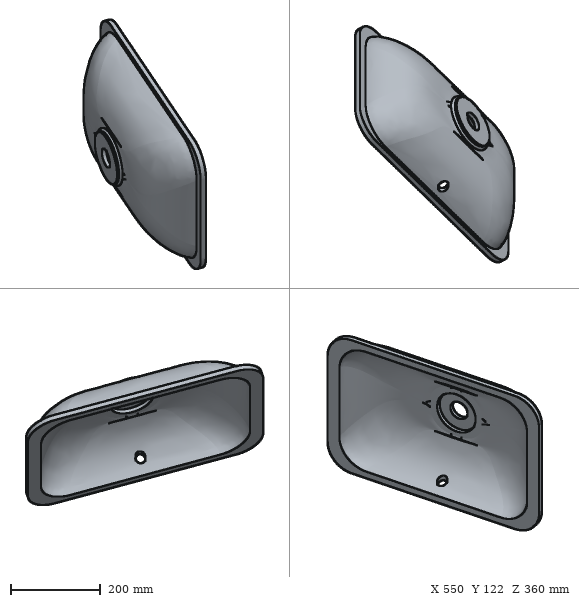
import cadquery as cq

length = 550.0
width = 360.0
total_depth = 122.0
flange_thickness = 13.0
flange_corner = 62.5

wall = 11.0
floor_depth = 111.0
rim_half_length = 255.0
rim_half_width = 172.5
bowl_sections = [
    (0.0, rim_half_length, rim_half_width, 74.0),
    (22.0, 251.0, 167.0, 74.0),
    (44.0, 240.5, 157.5, 77.0),
    (66.0, 223.5, 142.0, 80.0),
    (88.0, 197.0, 117.0, 80.0),
    (101.0, 168.5, 92.0, 71.5),
    (108.0, 133.0, 73.5, 64.0),
    (floor_depth, 71.5, 66.5, 58.5),
]

boss_radius = 61.0
boss_flare = 6.0
drain_radius = 22.0
overflow_radius = 11.5
overflow_depth = 38.5


def plane_at(depth):
    """Sketch plane at a depth below the rim, with its normal toward -Y."""
    return cq.Workplane("XZ", origin=(0, -depth, 0))


def section_wire(depth, half_length, half_width, corner):
    """Rounded-rectangle outline across the bowl."""
    block = plane_at(depth).rect(2 * half_length, 2 * half_width).extrude(flange_thickness)
    return block.edges("|Y").fillet(corner).faces(">Y").wires().val()


def bowl_body(inset):
    """Smooth bowl, shrunk by the inset at both the rim and the floor."""
    depth_scale = 1 - inset / floor_depth
    length_scale = 1 - inset / rim_half_length
    width_scale = 1 - inset / rim_half_width
    wires = [
        section_wire(
            depth * depth_scale,
            half_length * length_scale,
            half_width * width_scale,
            corner * width_scale,
        )
        for depth, half_length, half_width, corner in bowl_sections
    ]
    return cq.Workplane(cq.Solid.makeLoft(wires))


def drain_boss():
    """Round boss that flares with a concave arc into the bowl floor."""
    base_depth = floor_depth - wall / 2
    flare_radius = boss_radius + boss_flare
    return (
        cq.Workplane("XY")
        .moveTo(0, -base_depth)
        .lineTo(flare_radius, -base_depth)
        .lineTo(flare_radius, -floor_depth)
        .radiusArc((boss_radius, -floor_depth - boss_flare), boss_flare)
        .lineTo(boss_radius, -total_depth)
        .lineTo(0, -total_depth)
        .close()
        .revolve(360, (0, 0), (0, 1))
    )


flange = plane_at(0).rect(length, width).extrude(flange_thickness).edges("|Y").fillet(flange_corner)
body = flange.union(bowl_body(0)).union(drain_boss())
drain_seat = plane_at(0).circle(boss_radius - wall).extrude(total_depth - wall)
drain = plane_at(0).circle(drain_radius).extrude(total_depth)
overflow = cq.Workplane("XY").center(0, -overflow_depth).circle(overflow_radius).extrude(-width / 2)

result = body.cut(bowl_body(wall)).cut(drain_seat).cut(drain).cut(overflow)